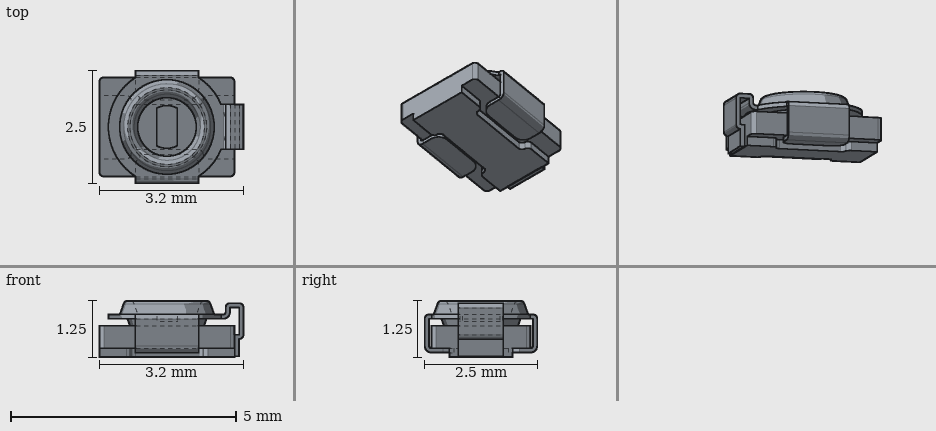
import cadquery as cq
import math

body_length = 3.0
body_width = 2.2
body_corner_radius = 0.1
foot_height = 0.2
body_top = 0.7
foot_width = 1.4
foot_waist_width = 1.0
foot_step_radius = (foot_width - foot_waist_width) / 4

sheet = 0.1
plate_radius = 1.3
plate_top = 0.95
plate_bottom = plate_top - sheet
inner_bend_radius = 0.05
outer_bend_radius = inner_bend_radius + sheet
tight_bend_radius = sheet

strap_length = 1.4
strap_outer_y = 1.25
strap_inner_y = strap_outer_y - sheet
strap_bottom = foot_height - sheet
strap_end_y = 0.6
strap_end_radius = 0.25

hook_width = 1.0
hook_inner_x = 1.3
hook_outer_x = 1.7
hook_top = 1.2
hook_bottom = 0.4
terminal_base = 0.015
body_end_x = body_length / 2

dial_top = 1.25
wall_angle = 20
wall_slope = math.tan(math.radians(wall_angle))
rim_base_radius = 1.05
rim_edge_radius = 0.1
recess_floor = plate_top
recess_floor_radius = 0.65
hub_top_radius = 0.88
slot_width = 0.455
slot_end_radius = 0.475
slot_depth = 0.15


def make_body():
    """Slab with rounded corners standing on the feet."""
    slab = (
        cq.Workplane("XY")
        .workplane(offset=foot_height)
        .rect(body_length, body_width)
        .extrude(body_top - foot_height)
        .edges("|Z")
        .fillet(body_corner_radius)
    )
    return slab.union(make_feet())


def make_feet():
    """Two end feet joined by a narrower waist, each step an S of two arcs."""
    feet = cq.Workplane("XY").rect(body_length, foot_width).extrude(foot_height)
    waist_x = strap_length / 2
    mid_x = waist_x + foot_step_radius
    foot_x = mid_x + foot_step_radius
    foot_y = foot_width / 2
    mid_y = foot_y - foot_step_radius
    waist_y = foot_waist_width / 2
    notch = (
        cq.Workplane("XY")
        .moveTo(-foot_x, foot_y)
        .radiusArc((-mid_x, mid_y), foot_step_radius)
        .radiusArc((-waist_x, waist_y), -foot_step_radius)
        .lineTo(waist_x, waist_y)
        .radiusArc((mid_x, mid_y), -foot_step_radius)
        .radiusArc((foot_x, foot_y), foot_step_radius)
        .close()
        .extrude(foot_height)
    )
    return feet.cut(notch).cut(notch.mirror("XZ"))


def make_plate():
    """Round plate with flats at Y = +/- half the body width, where the straps carry on."""
    level = cq.Workplane("XY").workplane(offset=plate_bottom)
    disc = level.circle(plate_radius).extrude(sheet)
    band = level.rect(2 * plate_radius, body_width).extrude(sheet)
    return disc.intersect(band)


def make_strap():
    """C-shaped strap on the +Y side, from the plate down and under the body."""
    strap = (
        cq.Workplane("YZ")
        .moveTo(0, plate_top)
        .lineTo(strap_outer_y - tight_bend_radius, plate_top)
        .radiusArc((strap_outer_y, plate_top - tight_bend_radius), tight_bend_radius)
        .lineTo(strap_outer_y, strap_bottom + outer_bend_radius)
        .radiusArc((strap_outer_y - outer_bend_radius, strap_bottom), outer_bend_radius)
        .lineTo(strap_end_y, strap_bottom)
        .lineTo(strap_end_y, foot_height)
        .lineTo(strap_inner_y - inner_bend_radius, foot_height)
        .radiusArc((strap_inner_y, foot_height + inner_bend_radius), -inner_bend_radius)
        .lineTo(strap_inner_y, plate_bottom)
        .lineTo(0, plate_bottom)
        .close()
        .extrude(strap_length / 2, both=True)
    )
    end_center = (0, strap_end_y, (strap_bottom + foot_height) / 2)
    end_face = cq.selectors.NearestToPointSelector(end_center)
    return strap.faces(end_face).edges("|Z").fillet(strap_end_radius)


def make_hook():
    """Hook that steps up from the plate, crosses over and drops to the terminal."""
    step_start_x = hook_inner_x - inner_bend_radius
    step_outer_x = hook_inner_x + sheet
    drop_inner_x = hook_outer_x - sheet
    hook = (
        cq.Workplane("XZ")
        .moveTo(0, plate_top)
        .lineTo(step_start_x, plate_top)
        .radiusArc((hook_inner_x, plate_top + inner_bend_radius), -inner_bend_radius)
        .lineTo(hook_inner_x, hook_top - tight_bend_radius)
        .radiusArc((hook_inner_x + tight_bend_radius, hook_top), tight_bend_radius)
        .lineTo(hook_outer_x - tight_bend_radius, hook_top)
        .radiusArc((hook_outer_x, hook_top - tight_bend_radius), tight_bend_radius)
        .lineTo(hook_outer_x, hook_bottom + tight_bend_radius)
        .radiusArc((hook_outer_x - tight_bend_radius, hook_bottom), tight_bend_radius)
        .lineTo(body_end_x, hook_bottom)
        .lineTo(body_end_x, hook_bottom + sheet)
        .lineTo(drop_inner_x, hook_bottom + sheet)
        .lineTo(drop_inner_x, hook_top - sheet)
        .lineTo(step_outer_x, hook_top - sheet)
        .lineTo(step_outer_x, plate_bottom + outer_bend_radius)
        .radiusArc((step_start_x, plate_bottom), outer_bend_radius)
        .lineTo(0, plate_bottom)
        .close()
        .extrude(hook_width / 2, both=True)
    )
    terminal = (
        cq.Workplane("XY")
        .workplane(offset=terminal_base)
        .center(body_end_x + sheet / 2, 0)
        .rect(sheet, hook_width)
        .extrude(hook_bottom - terminal_base)
    )
    return hook.union(terminal)


def make_dial():
    """Revolved dial: tapered hub below the plate, rounded rim and recess above it."""
    hub_bottom_radius = hub_top_radius - (plate_bottom - body_top) * wall_slope
    rim_top_radius = rim_base_radius - (dial_top - plate_top) * wall_slope
    recess_top_radius = recess_floor_radius + (dial_top - recess_floor) * wall_slope
    return (
        cq.Workplane("XZ")
        .moveTo(0, body_top)
        .lineTo(hub_bottom_radius, body_top)
        .lineTo(hub_top_radius, plate_bottom)
        .lineTo(rim_base_radius, plate_bottom)
        .lineTo(rim_base_radius, plate_top)
        .lineTo(rim_top_radius, dial_top)
        .lineTo(recess_top_radius, dial_top)
        .lineTo(recess_floor_radius, recess_floor)
        .lineTo(0, recess_floor)
        .close()
        .revolve(360, (0, 0), (0, 1))
        .faces(">Z")
        .edges()
        .fillet(rim_edge_radius)
    )


def make_slot():
    """Screwdriver slot with ends rounded about the dial axis."""
    slot_bottom = cq.Workplane("XY").workplane(offset=recess_floor - slot_depth)
    disc = slot_bottom.circle(slot_end_radius).extrude(slot_depth)
    bar = slot_bottom.rect(slot_width, 2 * slot_end_radius).extrude(slot_depth)
    return disc.intersect(bar)


strap = make_strap()
stator = make_plate().union(strap).union(strap.mirror("XZ")).union(make_hook())
result = make_body().union(stator.union(make_dial())).cut(make_slot())